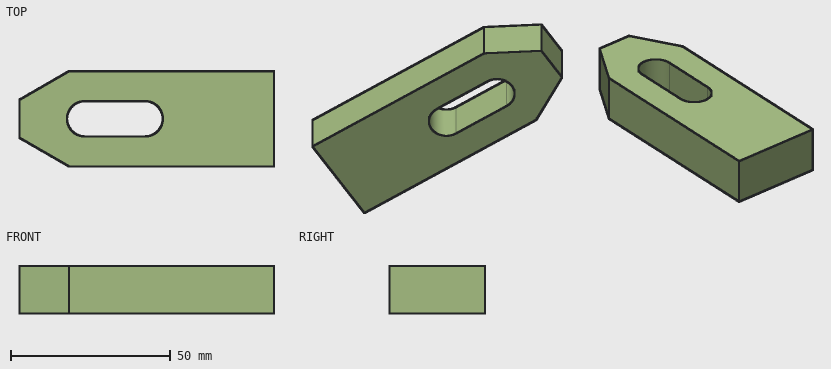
import cadquery as cq
import math

length = 80.0
width = 30.0
thickness = 15.0

nose_width = 12.0
taper_angle = 30.0
taper_length = (width - nose_width) / 2 / math.tan(math.radians(taper_angle))

slot_width = 11.0
slot_length = 30.0
slot_start = 15.0


def make_bar():
    """Flat bar with its nose face at X = 0 and its underside at Z = 0."""
    return (
        cq.Workplane("XY")
        .moveTo(0, -nose_width / 2)
        .lineTo(taper_length, -width / 2)
        .lineTo(length, -width / 2)
        .lineTo(length, width / 2)
        .lineTo(taper_length, width / 2)
        .lineTo(0, nose_width / 2)
        .close()
        .extrude(thickness)
    )


def make_slot():
    """Round-ended cutter running along X through the full thickness."""
    slot_center_x = slot_start + slot_length / 2
    return (
        cq.Workplane("XY")
        .center(slot_center_x, 0)
        .slot2D(slot_length, slot_width)
        .extrude(thickness)
    )


result = make_bar().cut(make_slot())